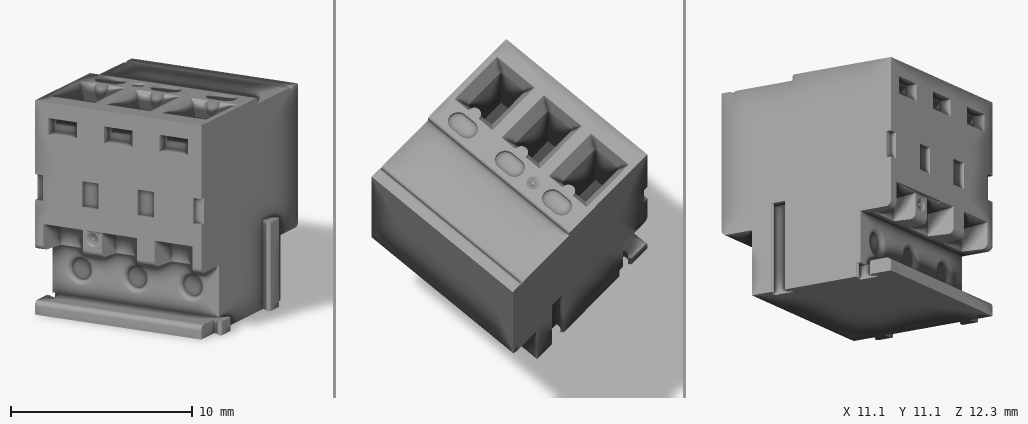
import cadquery as cq


overall_width = 11.08
body_width = 10.5
pole_count = 3
pole_pitch = body_width / pole_count
body_depth = 11.1
body_height = 12.3
stem_front = 2.0
stem_back = 9.09
flange_bottom = 3.75
flange_radius = 0.32
foot_height = 0.79
foot_radius = 0.3
rear_step_y = 6.45
rear_step_drop = 0.35
rear_step_radius = 0.15
rear_top = body_height - rear_step_drop
score_radius = 0.22
score_offset = 0.76

funnel_width = 2.82
funnel_front = 1.16
funnel_back = 4.62
well_width = 1.77
well_front = 1.38
well_back = 4.12
funnel_depth = 0.9
well_depth = 4.92
column_radius = 0.38
column_offset = 0.05

oval_length = 1.82
oval_width = 1.15
oval_y = 5.51
oval_depth = 0.2

dimple_diameter = 0.8
dimple_depth = 0.15
dimple_pin_diameter = 0.2
dimple_pin_drop = 0.06
front_dimple_z = 4.7

window_width = 1.8
window_drop = 0.9
window_top = body_height - window_drop
window_height = 1.0
window_depth = 0.64
window_floor_rise = 0.09
slot_width = 1.53
slot_height = 0.38
slot_top_margin = 0.14
slot_depth = 0.37

latch_width = 1.05
latch_bottom = 6.57
latch_height = 1.5
latch_depth = 0.3

pocket_width = 2.4
pocket_height = 1.53
pocket_top = flange_bottom + pocket_height
pocket_depth = 1.5
pocket_taper = 0.25
bridge_setback = 0.25

socket_z = 2.3
socket_diameter = 1.2
socket_lip_radius = 0.3

dovetail_length = 5.1
rear_dovetail_y = 7.38
foot_dovetail_y = 1.81
tongue_reach = overall_width - body_width
tongue_neck_half = 0.32
tongue_head_half = 0.54
tongue_neck_length = 0.15
tongue_flare_end = 0.36
tongue_tip_radius = 0.11
groove_clearance = 0.05
groove_lip_radius = 0.11

pole_centers = [pole_pitch * (i + 0.5) for i in range(pole_count)]


def box(x0, x1, y0, y1, z0, z1):
    """Axis-aligned box between two opposite corners."""
    return cq.Workplane("XY").box(x1 - x0, y1 - y0, z1 - z0, centered=False).translate((x0, y0, z0))


def make_body():
    """Side profile with flange, stem, foot and rear step, extruded across the poles."""
    score_y = body_depth - score_offset
    profile = (
        cq.Workplane("YZ")
        .moveTo(0, 0)
        .lineTo(0, foot_height - foot_radius)
        .radiusArc((foot_radius, foot_height), foot_radius)
        .lineTo(stem_front, foot_height)
        .lineTo(stem_front, flange_bottom)
        .lineTo(flange_radius, flange_bottom)
        .radiusArc((0, flange_bottom + flange_radius), flange_radius)
        .lineTo(0, body_height)
        .lineTo(rear_step_y - rear_step_radius, body_height)
        .radiusArc((rear_step_y, body_height - rear_step_radius), rear_step_radius)
        .lineTo(rear_step_y, rear_top)
        .lineTo(score_y - score_radius, rear_top)
        .radiusArc((score_y, rear_top - score_radius), score_radius)
        .radiusArc((score_y + score_radius, rear_top), score_radius)
        .lineTo(body_depth, rear_top)
        .lineTo(body_depth, flange_bottom + flange_radius)
        .radiusArc((body_depth - flange_radius, flange_bottom), flange_radius)
        .lineTo(stem_back, flange_bottom)
        .lineTo(stem_back, 0)
        .close()
    )
    return profile.extrude(body_width)


def make_funnel(x):
    """Tapered wire entry over a straight well, with a half-round column left on its back wall."""
    funnel = (
        cq.Workplane("XY", origin=(x, (funnel_front + funnel_back) / 2, body_height))
        .rect(funnel_width, funnel_back - funnel_front)
        .workplane(offset=-funnel_depth)
        .center(0, (well_front + well_back - funnel_front - funnel_back) / 2)
        .rect(well_width, well_back - well_front)
        .loft(ruled=True)
    )
    well = box(x - well_width / 2, x + well_width / 2, well_front, well_back,
               body_height - well_depth, body_height - funnel_depth)
    column = (
        cq.Workplane("XY", origin=(x, funnel_back - column_offset, body_height - funnel_depth))
        .circle(column_radius)
        .extrude(funnel_depth)
    )
    return funnel.cut(column).union(well)


def make_oval(x):
    """Shallow oval recess in the top."""
    return (
        cq.Workplane("XY", origin=(x, oval_y, body_height))
        .slot2D(oval_length, oval_width)
        .extrude(-oval_depth)
    )


def make_dimple():
    """Spherical dimple below the XY plane, around a pin that stops short of the plane."""
    rim = dimple_diameter / 2
    sphere_radius = (rim**2 + dimple_depth**2) / (2 * dimple_depth)
    sphere = cq.Workplane("XY").sphere(sphere_radius).translate((0, 0, sphere_radius - dimple_depth))
    cap = box(-rim, rim, -rim, rim, -dimple_depth, 0)
    pin = (
        cq.Workplane("XY", origin=(0, 0, -dimple_depth))
        .circle(dimple_pin_diameter / 2)
        .extrude(dimple_depth - dimple_pin_drop)
    )
    return sphere.intersect(cap).cut(pin)


def make_window(x):
    """Window with a rising floor; a slot with a sloping roof goes deeper from its back wall."""
    window_bottom = window_top - window_height
    slot_top = window_top - slot_top_margin
    slot_bottom = slot_top - slot_height
    opening = (
        cq.Workplane("YZ", origin=(x - window_width / 2, 0, 0))
        .moveTo(0, window_bottom)
        .lineTo(window_depth, window_bottom + window_floor_rise)
        .lineTo(window_depth, window_top)
        .lineTo(0, window_top)
        .close()
        .extrude(window_width)
    )
    slot = (
        cq.Workplane("YZ", origin=(x - slot_width / 2, 0, 0))
        .moveTo(window_depth, slot_bottom)
        .lineTo(window_depth + slot_depth, slot_bottom)
        .lineTo(window_depth, slot_top)
        .close()
        .extrude(slot_width)
    )
    return opening.union(slot)


def make_latch_recess(x):
    """Shallow recess centered on a pole boundary."""
    return box(x - latch_width / 2, x + latch_width / 2, 0, latch_depth,
               latch_bottom, latch_bottom + latch_height)


def make_clip_pocket(x):
    """Pocket open to the front and below, narrowing towards the back at both sides and the top."""
    return (
        cq.Workplane("XZ", origin=(x, 0, flange_bottom + pocket_height / 2))
        .rect(pocket_width, pocket_height)
        .workplane(offset=-pocket_depth)
        .center(0, -pocket_taper / 2)
        .rect(pocket_width - 2 * pocket_taper, pocket_height - pocket_taper)
        .loft(ruled=True)
    )


def make_bridge_relief():
    """Cuts back the flange between the first two clip pockets; its new lower edge is rounded too."""
    x0 = pole_centers[0]
    x1 = pole_centers[1]
    corner_y = bridge_setback + flange_radius
    return (
        cq.Workplane("YZ", origin=(x0, 0, 0))
        .moveTo(0, flange_bottom)
        .lineTo(corner_y, flange_bottom)
        .radiusArc((bridge_setback, flange_bottom + flange_radius), flange_radius)
        .lineTo(bridge_setback, pocket_top)
        .lineTo(0, pocket_top)
        .close()
        .extrude(x1 - x0)
    )


def make_socket(x):
    """Blind pin socket with a fully rounded entry."""
    mouth_radius = socket_diameter / 2 + socket_lip_radius
    return (
        cq.Workplane("XY", origin=(x, stem_front, socket_z))
        .moveTo(0, 0)
        .lineTo(mouth_radius, 0)
        .radiusArc((socket_diameter / 2, socket_lip_radius), socket_lip_radius)
        .lineTo(0, socket_lip_radius)
        .close()
        .revolve(360, (0, 0, 0), (0, 1, 0))
    )


def make_tongue(y, height):
    """Dovetail tongue standing out from the right side."""
    tip_start = tongue_reach - tongue_tip_radius
    tip_half = tongue_head_half - tongue_tip_radius
    return (
        cq.Workplane("XY", origin=(body_width, y, 0))
        .moveTo(0, tongue_neck_half)
        .lineTo(tongue_neck_length, tongue_neck_half)
        .lineTo(tongue_flare_end, tongue_head_half)
        .lineTo(tip_start, tongue_head_half)
        .radiusArc((tongue_reach, tip_half), tongue_tip_radius)
        .lineTo(tongue_reach, -tip_half)
        .radiusArc((tip_start, -tongue_head_half), tongue_tip_radius)
        .lineTo(tongue_flare_end, -tongue_head_half)
        .lineTo(tongue_neck_length, -tongue_neck_half)
        .lineTo(0, -tongue_neck_half)
        .close()
        .extrude(height)
    )


def make_groove(y, height):
    """Dovetail groove in the left side with rounded lips."""
    neck = tongue_neck_half + groove_clearance
    head = tongue_head_half + groove_clearance
    bottom = tongue_reach + groove_clearance
    lip = groove_lip_radius
    return (
        cq.Workplane("XY", origin=(0, y, 0))
        .moveTo(0, neck + lip)
        .radiusArc((lip, neck), lip)
        .lineTo(tongue_neck_length, neck)
        .lineTo(tongue_flare_end, head)
        .lineTo(bottom, head)
        .lineTo(bottom, -head)
        .lineTo(tongue_flare_end, -head)
        .lineTo(tongue_neck_length, -neck)
        .lineTo(lip, -neck)
        .radiusArc((0, -neck - lip), lip)
        .close()
        .extrude(height)
    )


result = make_body()

for center_x in pole_centers:
    result = result.cut(make_funnel(center_x))
    result = result.cut(make_oval(center_x))
    result = result.cut(make_window(center_x))
    result = result.cut(make_clip_pocket(center_x))
    result = result.cut(make_socket(center_x))

for boundary in range(pole_count + 1):
    result = result.cut(make_latch_recess(boundary * pole_pitch))

result = result.cut(make_bridge_relief())

top_dimple = make_dimple().translate((pole_pitch, oval_y, body_height))
front_dimple = (
    make_dimple()
    .rotate((0, 0, 0), (1, 0, 0), 90)
    .translate((pole_pitch, bridge_setback, front_dimple_z))
)
result = result.cut(top_dimple).cut(front_dimple)

for dovetail_y, dovetail_height in ((rear_dovetail_y, dovetail_length), (foot_dovetail_y, foot_height)):
    result = result.cut(make_groove(dovetail_y, dovetail_height))
    result = result.union(make_tongue(dovetail_y, dovetail_height))